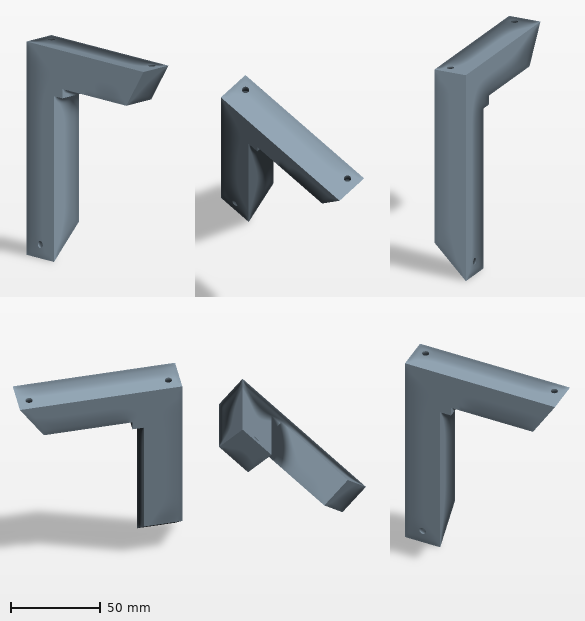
import cadquery as cq

length = 92.825
thickness = 19.63
height = 123.51

leg_width = 21.8
arm_height = 22.15

step_length = 6.7
step_drop = 5.4

arm_end_slant = 13.65
leg_end_rise = thickness

hole_diameter = 4.0
hole_depth = 5.0
arm_hole_inset = 6.6
leg_hole_height = 8.0


def make_bracket():
    """L-shaped profile in XZ, extruded from the front (Y = 0) to the back."""
    arm_bottom = height - arm_height
    step_x = leg_width + step_length
    step_z = arm_bottom - step_drop
    profile = [
        (0, 0),
        (leg_width, 0),
        (leg_width, step_z),
        (step_x, step_z),
        (step_x, arm_bottom),
        (length - arm_end_slant, arm_bottom),
        (length, height),
        (0, height),
    ]
    return cq.Workplane("XZ").polyline(profile).close().extrude(-thickness)


def make_leg_end_cut():
    """Wedge below the leg's slanted lower end."""
    return (
        cq.Workplane("YZ")
        .polyline([(0, 0), (thickness, 0), (thickness, leg_end_rise)])
        .close()
        .extrude(leg_width)
    )


def make_hole(opening, direction):
    """Blind hole cutter starting at the opening and running along direction."""
    cylinder = cq.Solid.makeCylinder(
        hole_diameter / 2,
        hole_depth,
        cq.Vector(*opening),
        cq.Vector(*direction),
    )
    return cq.Workplane(cylinder)


result = make_bracket().cut(make_leg_end_cut())

for hole_x in (arm_hole_inset, length - arm_hole_inset):
    result = result.cut(make_hole((hole_x, thickness - arm_hole_inset, height), (0, 0, -1)))

result = result.cut(make_hole((leg_width / 2, 0, leg_hole_height), (0, 1, 0)))